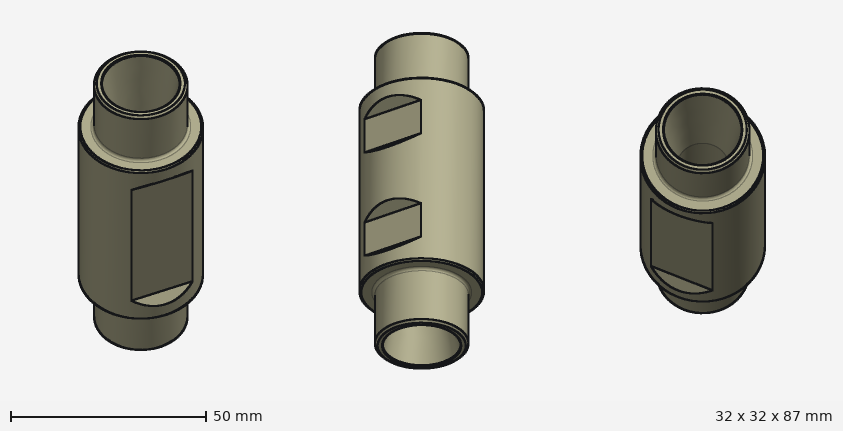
import cadquery as cq
import math

total_length = 87.0
neck_length = 16.0
body_bottom = neck_length
body_top = total_length - neck_length
mid_height = total_length / 2

body_radius = 32.0 / 2
neck_radius = 24.0 / 2
body_chamfer = 0.5
neck_chamfer = 0.7
neck_fillet = 0.8

bore_radius = 13.5 / 2
mouth_radius = 10.15
mouth_chamfer = 0.2
seat_half_angle = math.radians(8.0)

flat_distance = 13.5
flat_end_angle = math.radians(45.0)
wrench_flat_length = 10.0
wrench_flat_spacing = 31.0
long_flat_length = wrench_flat_spacing + wrench_flat_length


def make_body():
    """Central cylinder with both end edges chamfered."""
    return (
        cq.Workplane("XY", origin=(0, 0, body_bottom))
        .circle(body_radius)
        .extrude(body_top - body_bottom)
        .edges()
        .chamfer(body_chamfer)
    )


def make_lower_neck():
    """Bottom neck, chamfered at its free end and filleted into the body."""
    arc_mid = neck_fillet * (1 - math.sqrt(0.5))
    return (
        cq.Workplane("XZ")
        .moveTo(0, 0)
        .lineTo(neck_radius - neck_chamfer, 0)
        .lineTo(neck_radius, neck_chamfer)
        .lineTo(neck_radius, neck_length - neck_fillet)
        .threePointArc(
            (neck_radius + arc_mid, neck_length - arc_mid),
            (neck_radius + neck_fillet, neck_length),
        )
        .lineTo(0, neck_length)
        .close()
        .revolve(360, (0, 0, 0), (0, 1, 0))
    )


def make_lower_mouth():
    """Cutter for the bottom mouth: edge chamfer, then a cone down to the bore."""
    seat_radius = mouth_radius - mouth_chamfer
    seat_depth = (seat_radius - bore_radius) / math.tan(seat_half_angle)
    return (
        cq.Workplane("XZ")
        .moveTo(0, 0)
        .lineTo(mouth_radius, 0)
        .lineTo(seat_radius, mouth_chamfer)
        .lineTo(bore_radius, mouth_chamfer + seat_depth)
        .lineTo(0, mouth_chamfer + seat_depth)
        .close()
        .revolve(360, (0, 0, 0), (0, 1, 0))
    )


def mirror_to_top(shape):
    """Copy of an end feature at the opposite end of the part."""
    return shape.mirror("XY", (0, 0, mid_height))


def make_flat_cutter(side, center_z, flat_length):
    """Cutter for a flat on the +X (side = 1) or -X (side = -1) face, with sloped ends."""
    depth = body_radius - flat_distance
    half_flat = flat_length / 2
    half_opening = half_flat + depth / math.tan(flat_end_angle)
    return (
        cq.Workplane("XZ")
        .moveTo(side * flat_distance, center_z - half_flat)
        .lineTo(side * body_radius, center_z - half_opening)
        .lineTo(side * body_radius, center_z + half_opening)
        .lineTo(side * flat_distance, center_z + half_flat)
        .close()
        .extrude(body_radius, both=True)
    )


lower_neck = make_lower_neck()
lower_mouth = make_lower_mouth()
bore = cq.Workplane("XY").circle(bore_radius).extrude(total_length)

result = make_body().union(lower_neck).union(mirror_to_top(lower_neck))
result = result.cut(bore).cut(lower_mouth).cut(mirror_to_top(lower_mouth))

for direction in (-1, 1):
    flat_z = mid_height + direction * wrench_flat_spacing / 2
    result = result.cut(make_flat_cutter(-1, flat_z, wrench_flat_length))
result = result.cut(make_flat_cutter(1, mid_height, long_flat_length))